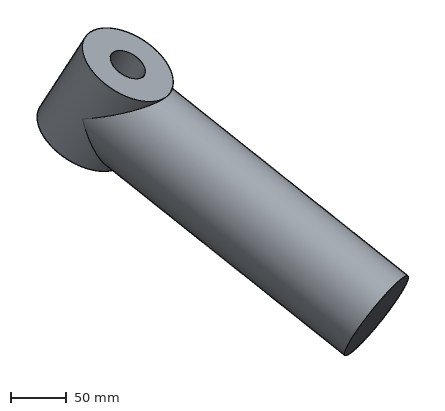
import cadquery as cq

outer_diameter = 91.0
hub_height = outer_diameter
bore_diameter = 35.0
overall_length = 358.71
tilt_angle = 30.0

outer_radius = outer_diameter / 2
arm_reach = overall_length - outer_radius


def make_hub():
    """Upright cylinder centred on the origin."""
    return cq.Workplane("XY").cylinder(hub_height, outer_radius)


def make_arm():
    """Solid round bar running along +X from the hub axis."""
    return cq.Workplane("YZ").circle(outer_radius).extrude(arm_reach)


def make_bore_cutter():
    """Cylinder that opens the hub from end to end."""
    return cq.Workplane("XY").cylinder(hub_height, bore_diameter / 2)


level_part = make_hub().union(make_arm()).cut(make_bore_cutter())
result = level_part.rotate((0, 0, 0), (0, 1, 0), tilt_angle)